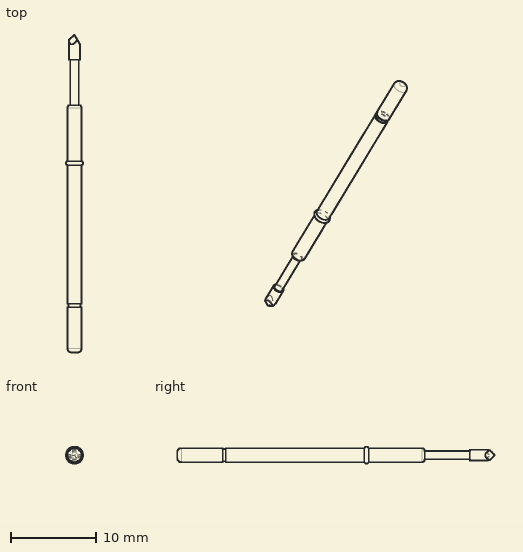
import cadquery as cq
import math

overall_length = 37.3

barrel_radius = 1.68 / 2
mouth_y = overall_length - 8.25
mouth_roll_length = 0.35
mouth_roll_depth = 0.2
tail_fillet = 0.5

ring_radius = 2.0 / 2
ring_width = 0.5
ring_y = 22.23

groove_y = 5.52
groove_width = 0.37
groove_depth = 0.1

shaft_radius = 1.0 / 2
head_radius = 1.3 / 2
head_length = 2.95

point_sides = 3
point_face_angle = 30.0


def along_axis(solid):
    """Turn a solid built along +Z so that it runs along +Y."""
    return solid.rotate((0, 0, 0), (1, 0, 0), -90)


def make_barrel():
    """Revolved barrel with a rounded tail, crimp groove, stop ring and rolled mouth."""
    groove_start = groove_y - groove_width / 2
    groove_end = groove_y + groove_width / 2
    groove_radius = barrel_radius - groove_depth
    ring_start = ring_y - ring_width / 2
    ring_end = ring_y + ring_width / 2

    roll_start = mouth_y - mouth_roll_length
    roll_radius = (mouth_roll_length**2 + mouth_roll_depth**2) / (2 * mouth_roll_depth)
    half_roll = math.asin(mouth_roll_length / roll_radius) / 2
    roll_middle = (
        barrel_radius - roll_radius * (1 - math.cos(half_roll)),
        roll_start + roll_radius * math.sin(half_roll),
    )
    tail_middle = (
        barrel_radius - tail_fillet * (1 - math.sin(math.pi / 4)),
        tail_fillet * (1 - math.cos(math.pi / 4)),
    )

    return (
        cq.Workplane("XY")
        .moveTo(0, 0)
        .lineTo(barrel_radius - tail_fillet, 0)
        .threePointArc(tail_middle, (barrel_radius, tail_fillet))
        .lineTo(barrel_radius, groove_start)
        .lineTo(groove_radius, groove_start)
        .lineTo(groove_radius, groove_end)
        .lineTo(barrel_radius, groove_end)
        .lineTo(barrel_radius, ring_start)
        .threePointArc((ring_radius, ring_y), (barrel_radius, ring_end))
        .lineTo(barrel_radius, roll_start)
        .threePointArc(roll_middle, (barrel_radius - mouth_roll_depth, mouth_y))
        .lineTo(0, mouth_y)
        .close()
        .revolve(360, (0, 0, 0), (0, 1, 0))
    )


def make_shaft():
    """Plunger shaft between the barrel mouth and the head, rooted inside the barrel."""
    root_y = mouth_y - mouth_roll_length
    shaft_length = overall_length - head_length - root_y
    shaft = cq.Workplane("XY").circle(shaft_radius).extrude(shaft_length)
    return along_axis(shaft).translate((0, root_y, 0))


def make_head():
    """Cylindrical plunger head cut to a three-sided pyramid point."""
    head_y = overall_length - head_length
    head = along_axis(cq.Workplane("XY").circle(head_radius).extrude(head_length))

    inner_radius = head_length * math.tan(math.radians(point_face_angle))
    corner_radius = inner_radius / math.cos(math.pi / point_sides)
    corners = []
    for side in range(point_sides):
        angle = math.pi + side * 2 * math.pi / point_sides
        corners.append((corner_radius * math.cos(angle), corner_radius * math.sin(angle), 0))

    apex = cq.Vector(0, 0, head_length)
    base = [cq.Vector(*corner) for corner in corners]
    faces = [cq.Face.makeFromWires(cq.Wire.makePolygon(base, close=True))]
    for side in range(point_sides):
        edge_ends = [base[side], base[(side + 1) % point_sides], apex]
        faces.append(cq.Face.makeFromWires(cq.Wire.makePolygon(edge_ends, close=True)))
    pyramid = cq.Workplane(cq.Solid.makeSolid(cq.Shell.makeShell(faces)))

    return head.intersect(along_axis(pyramid)).translate((0, head_y, 0))


result = make_barrel().union(make_shaft()).union(make_head())